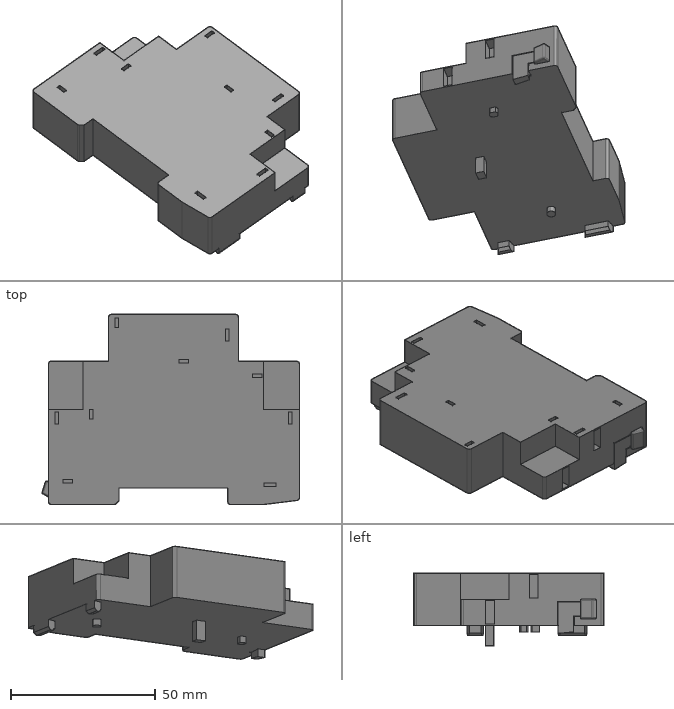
import cadquery as cq

body_length = 87.1
body_depth = 66.0
body_height = 18.2
shoulder_y = 49.75
crown_left = 20.8
crown_right = 65.9
corner_radius = 1.1

notch_left = 24.6
notch_right = 62.2
notch_depth = 5.7
notch_chamfer = 1.3
taper_start = 74.7
taper_rise = 1.5

step_floor = 9.1
step_y = 33.0
left_step_width = 12.0
right_step_x = taper_start

slot_width = 1.25
short_slot = 3.3
long_slot = 4.1
slot_depth = 2.7
short_slots_along_x = [(47.0, 49.7), (72.3, 44.65), (6.7, 8.0)]
long_slots_along_x = [(76.8, 6.9)]
short_slots_along_y = [(23.7, 63.05), (14.8, 31.3)]
long_slots_along_y = [(62.1, 58.8), (2.9, 30.0), (83.9, 30.0)]

window_width = 3.0
window_height = 8.1
window_depth = 4.5
windows = [(22.8, 9.6), (38.0, 0.5)]

peg_diameter = 3.0
peg_length = 2.2
round_peg = (72.25, 23.85)
flat_peg = (16.25, 27.8)
flat_peg_width = 2.4
post_x = 40.55
post_y = 39.65
post_size_x = 3.5
post_size_y = 2.95
post_length = 7.0

hook_width = 3.2
hook_drop = 3.5
hook_chamfer = 1.0
hook_end_taper = 0.9
hooks = [(5.8, 16.0), (41.7, 47.5)]

latch_gap = 0.3
latch_back_y = 15.9
latch_front_y = 5.4
latch_leg_y = 10.5
latch_arm_z = 3.4
latch_top_z = 8.1
latch_thickness = 2.9
foot_drop = 2.7
foot_draft = 0.5

knob_back_y = 8.1
knob_front_y = 2.5
knob_tip_y = 3.9
knob_reach = -2.3
knob_back_reach = -1.0
knob_bottom_z = 2.3
knob_height = 6.9
knob_round = 0.45


def block(x_range, y_range, z_range):
    """Rectangular block between two limits on each axis."""
    (x0, x1), (y0, y1), (z0, z1) = x_range, y_range, z_range
    return cq.Workplane("XY").box(x1 - x0, y1 - y0, z1 - z0, centered=False).translate((x0, y0, z0))


def make_housing():
    chamfer_start = (notch_left - notch_chamfer, 0)
    taper_end = (body_length, taper_rise)
    outline = [
        (0, 0),
        chamfer_start,
        (notch_left, notch_chamfer),
        (notch_left, notch_depth),
        (notch_right, notch_depth),
        (notch_right, 0),
        (taper_start, 0),
        taper_end,
        (body_length, shoulder_y),
        (crown_right, shoulder_y),
        (crown_right, body_depth),
        (crown_left, body_depth),
        (crown_left, shoulder_y),
        (0, shoulder_y),
    ]
    rounded_corners = [
        (0, 0),
        chamfer_start,
        (notch_right, 0),
        taper_end,
        (body_length, shoulder_y),
        (crown_right, body_depth),
        (crown_left, body_depth),
        (0, shoulder_y),
    ]
    housing = cq.Workplane("XY").polyline(outline).close().extrude(body_height)
    for x, y in rounded_corners:
        corner = cq.selectors.NearestToPointSelector((x, y, body_height / 2))
        housing = housing.edges("|Z").edges(corner).fillet(corner_radius)
    return housing


def cut_terminal_steps(housing):
    y_range = (step_y, shoulder_y)
    z_range = (step_floor, body_height)
    housing = housing.cut(block((0, left_step_width), y_range, z_range))
    return housing.cut(block((right_step_x, body_length), y_range, z_range))


def cut_top_slots(housing):
    slot_groups = [
        (short_slots_along_x, short_slot, slot_width),
        (long_slots_along_x, long_slot, slot_width),
        (short_slots_along_y, slot_width, short_slot),
        (long_slots_along_y, slot_width, long_slot),
    ]
    top = cq.Workplane("XY", origin=(0, 0, body_height))
    for centres, size_x, size_y in slot_groups:
        housing = housing.cut(top.pushPoints(centres).rect(size_x, size_y).extrude(-slot_depth))
    return housing


def cut_side_windows(housing):
    for y, z in windows:
        housing = housing.cut(block((0, window_depth), (y, y + window_width), (z, z + window_height)))
    return housing


def add_pegs(housing):
    underside = cq.Workplane("XY")
    pin = underside.circle(peg_diameter / 2).extrude(-peg_length)
    flats = underside.rect(flat_peg_width, peg_diameter).extrude(-peg_length)
    post = underside.center(post_x, post_y).rect(post_size_x, post_size_y).extrude(-post_length)
    housing = housing.union(pin.translate(round_peg + (0,)))
    housing = housing.union(pin.intersect(flats).translate(flat_peg + (0,)))
    return housing.union(post)


def make_hook(y_start, y_end):
    """Hook whose ends lean in towards its inner face, with both lower long edges chamfered."""
    inner_x = body_length - hook_width
    plan = [
        (body_length, y_start),
        (body_length, y_end),
        (inner_x, y_end - hook_end_taper),
        (inner_x, y_start + hook_end_taper),
    ]
    hook = cq.Workplane("XY").polyline(plan).close().extrude(-hook_drop)
    return hook.faces("<Z").edges("|Y").chamfer(hook_chamfer)


def latch_profile(gap):
    """L outline in the YZ plane, grown outwards by the given gap."""
    return [
        (latch_back_y + gap, 0),
        (latch_back_y + gap, latch_top_z + gap),
        (latch_front_y - gap, latch_top_z + gap),
        (latch_front_y - gap, latch_arm_z - gap),
        (latch_leg_y - gap, latch_arm_z - gap),
        (latch_leg_y - gap, 0),
    ]


def fit_latch(housing):
    side = cq.Workplane("YZ")
    recess = side.polyline(latch_profile(latch_gap)).close().extrude(latch_thickness)
    latch = side.polyline(latch_profile(0)).close().extrude(latch_thickness + latch_gap)
    return housing.cut(recess).union(latch)


def make_latch_foot():
    """Foot of the latch leg, growing downwards and inwards towards its +Y end."""
    front_width = latch_thickness - foot_draft
    front_drop = foot_drop - foot_draft
    leg_length = latch_back_y - latch_leg_y
    return (
        cq.Workplane("XZ", origin=(0, latch_leg_y, 0))
        .center(front_width / 2, -front_drop / 2)
        .rect(front_width, front_drop)
        .workplane(offset=-leg_length)
        .center(foot_draft / 2, -foot_draft / 2)
        .rect(latch_thickness, foot_drop)
        .loft()
    )


def make_knob():
    """Wedge-shaped knob, rounded on every edge outside the housing."""
    plan = [
        (latch_gap, knob_front_y),
        (knob_reach, knob_tip_y),
        (knob_back_reach, knob_back_y),
        (latch_gap, knob_back_y),
    ]
    knob = cq.Workplane("XY", origin=(0, 0, knob_bottom_z)).polyline(plan).close().extrude(knob_height)
    return knob.edges("not(>X)").fillet(knob_round)


result = make_housing()
result = cut_terminal_steps(result)
result = cut_top_slots(result)
result = cut_side_windows(result)
result = add_pegs(result)
for hook_start, hook_end in hooks:
    result = result.union(make_hook(hook_start, hook_end))
result = fit_latch(result)
result = result.union(make_latch_foot())
result = result.union(make_knob())